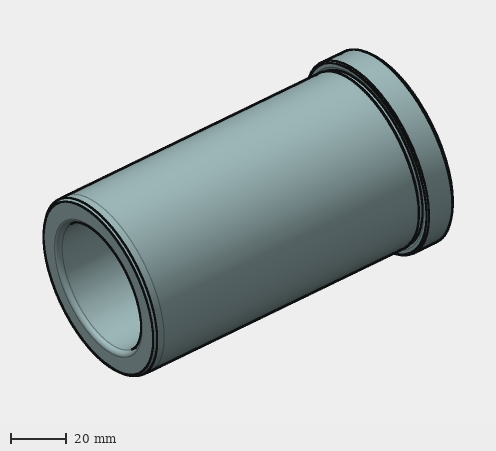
import cadquery as cq

total_length = 130.0
flange_diameter = 76.0
flange_thickness = 12.0
flange_edge = 1.0
underside_edge = 0.6
body_diameter = 70.0
bore_diameter = 50.0
bore_rounding = 2.0
relief_width = 1.7
relief_depth = 0.4
relief_chamfer = 0.4
recess_depth = 0.3
recess_diameter = 71.5
lead_length = 4.0
lead_depth = 0.1
lead_chamfer = 1.0

flange_radius = flange_diameter / 2
body_radius = body_diameter / 2
bore_radius = bore_diameter / 2
relief_radius = body_radius - relief_depth
lead_radius = body_radius - lead_depth
flange_underside = total_length - flange_thickness
body_top = flange_underside - relief_width


def make_outer_body():
    """Revolve the stepped outer outline (radius, axial position) about Y."""
    outline = (
        cq.Workplane("XY")
        .moveTo(0, 0)
        .lineTo(lead_radius - lead_chamfer, 0)
        .lineTo(lead_radius, lead_chamfer)
        .lineTo(body_radius, lead_length)
        .lineTo(body_radius, body_top)
        .lineTo(relief_radius, body_top + relief_chamfer)
        .lineTo(relief_radius, flange_underside + recess_depth)
        .lineTo(recess_diameter / 2, flange_underside)
        .lineTo(flange_radius - underside_edge, flange_underside)
        .lineTo(flange_radius, flange_underside + underside_edge)
        .lineTo(flange_radius, total_length - flange_edge)
        .lineTo(flange_radius - flange_edge, total_length)
        .lineTo(0, total_length)
        .close()
    )
    return outline.revolve(360, (0, 0, 0), (0, 1, 0))


def cut_bore(body):
    """Cut the through bore and round both of its mouths."""
    bore = cq.Workplane("XZ").circle(bore_radius).extrude(-total_length)
    mouth_edges = cq.selectors.RadiusNthSelector(0)
    bored = body.cut(bore)
    return bored.faces("<Y or >Y").edges(mouth_edges).fillet(bore_rounding)


result = cut_bore(make_outer_body())